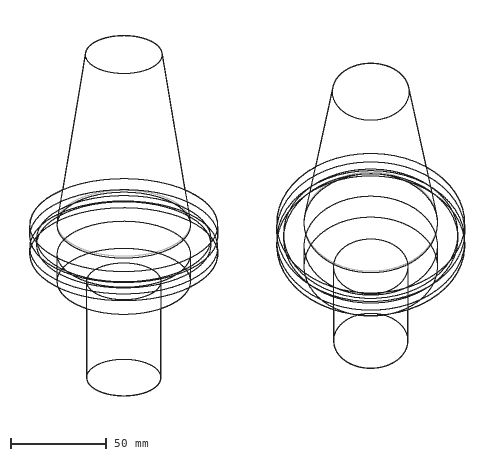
import cadquery as cq

TOTAL_LENGTH = 194.6
SHANK_LENGTH = 58.0
COLLAR_LENGTH = 16.3
FLANGE_THICKNESS = 17.5
PILOT_LENGTH = 1.2

SHANK_DIAMETER = 39.0
COLLAR_DIAMETER = 69.9
FLANGE_DIAMETER = 98.5
GROOVE_DIAMETER = 91.3
TAPER_TOP_DIAMETER = 40.3

LOWER_RIM_THICKNESS = 4.0
UPPER_RIM_THICKNESS = 6.6
GROOVE_FLANK_HEIGHT = 1.5

collar_bottom = SHANK_LENGTH
flange_bottom = collar_bottom + COLLAR_LENGTH
flange_top = flange_bottom + FLANGE_THICKNESS
taper_bottom = flange_top + PILOT_LENGTH
groove_bottom = flange_bottom + LOWER_RIM_THICKNESS
groove_top = flange_top - UPPER_RIM_THICKNESS

shank_radius = SHANK_DIAMETER / 2
collar_radius = COLLAR_DIAMETER / 2
flange_radius = FLANGE_DIAMETER / 2
groove_radius = GROOVE_DIAMETER / 2

half_profile = [
    (0, 0),
    (shank_radius, 0),
    (shank_radius, collar_bottom),
    (collar_radius, collar_bottom),
    (collar_radius, flange_bottom),
    (flange_radius, flange_bottom),
    (flange_radius, groove_bottom),
    (groove_radius, groove_bottom + GROOVE_FLANK_HEIGHT),
    (groove_radius, groove_top - GROOVE_FLANK_HEIGHT),
    (flange_radius, groove_top),
    (flange_radius, flange_top),
    (collar_radius, flange_top),
    (collar_radius, taper_bottom),
    (TAPER_TOP_DIAMETER / 2, TOTAL_LENGTH),
    (0, TOTAL_LENGTH),
]

result = cq.Workplane("XZ").polyline(half_profile).close().revolve(360, (0, 0), (0, 1))